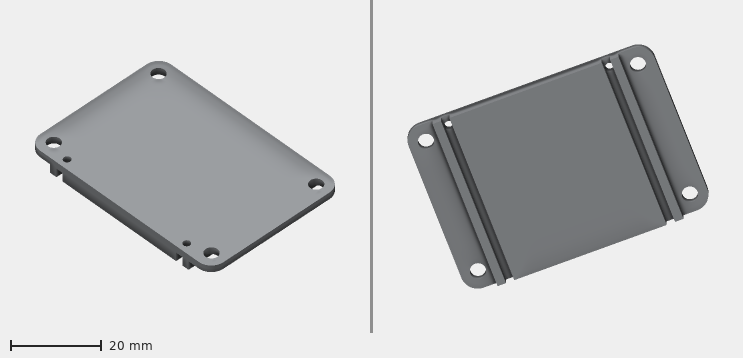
import cadquery as cq

length = 58.0
width = 40.25
height = 4.5

plate_thickness = 2.0
corner_radius = 3.8
mount_hole_diameter = 3.6
mount_hole_x = 25.0
mount_hole_y = 16.05

block_length = 35.95
groove_width = 2.0
rail_width = 2.0
rib_height = height - plate_thickness

pin_hole_diameter = 2.0
pin_hole_x = block_length / 2 + groove_width / 2
pin_hole_y = -17.8


def make_plate():
    """Rounded plate whose underside lies at Z = 0."""
    plate = cq.Workplane("XY").rect(length, width).extrude(plate_thickness)
    return plate.edges("|Z").fillet(corner_radius)


def make_rib(center_x, rib_length):
    """Straight rib hanging below the plate over its full width in Y."""
    return cq.Workplane("XY").center(center_x, 0).rect(rib_length, width).extrude(-rib_height)


def make_hole_cutters(points, diameter):
    """Cylinders that pass through the plate at the given points."""
    return cq.Workplane("XY").pushPoints(points).circle(diameter / 2).extrude(plate_thickness)


mount_points = [(sx * mount_hole_x, sy * mount_hole_y) for sx in (-1, 1) for sy in (-1, 1)]
pin_points = [(side * pin_hole_x, pin_hole_y) for side in (-1, 1)]

result = make_plate().union(make_rib(0, block_length))

rail_x = block_length / 2 + groove_width + rail_width / 2
for side in (-1, 1):
    result = result.union(make_rib(side * rail_x, rail_width))

result = result.cut(make_hole_cutters(mount_points, mount_hole_diameter))
result = result.cut(make_hole_cutters(pin_points, pin_hole_diameter))